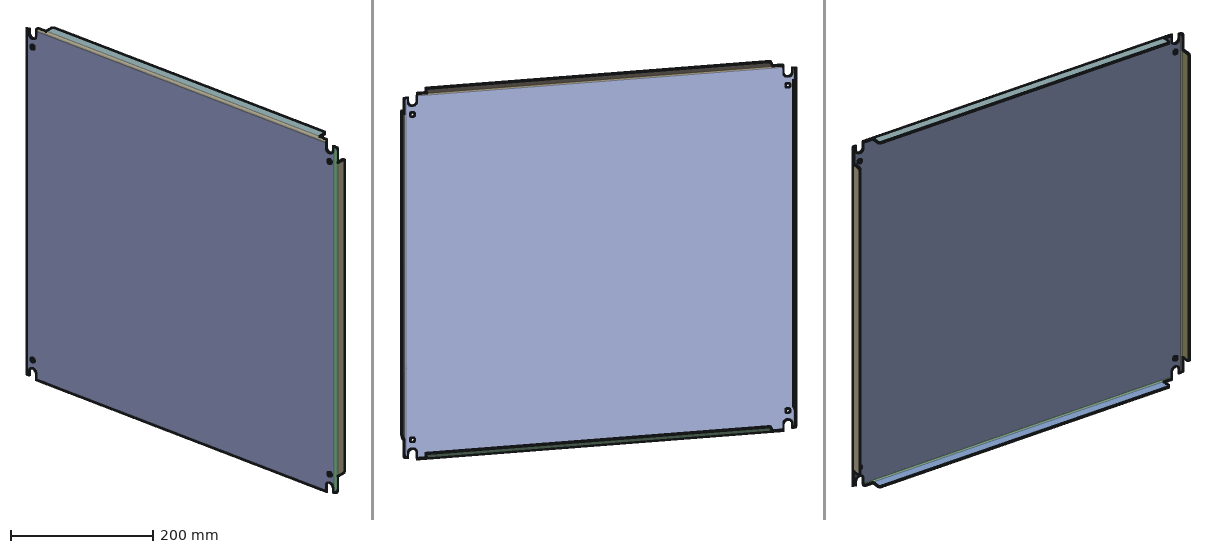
import cadquery as cq
import math

panel_size = 563.12
panel_depth = 19.05
sheet_thickness = 1.9
outer_bend_radius = 3.8

notch_width = 12.4
notch_depth = 18.1
hole_diameter = 7.0
hole_spacing_x = 538.0
hole_spacing_z = 500.0

horizontal_flange_inset = 34.0
vertical_flange_inset = 31.0
vertical_bend_inset = 5.0

flange_corner_radius = 3.0
horizontal_bend_rounding = 2.5
vertical_bend_rounding = 6.0

half_panel = panel_size / 2
inner_bend_radius = outer_bend_radius - sheet_thickness
flat_size = panel_size - 2 * outer_bend_radius
notch_radius = notch_width / 2
horizontal_bend_length = hole_spacing_x - notch_width
vertical_bend_length = panel_size - 2 * vertical_bend_inset
horizontal_flange_length = panel_size - 2 * horizontal_flange_inset
vertical_flange_length = panel_size - 2 * vertical_flange_inset


def make_flat_plate():
    """Cross-shaped flat sheet that reaches the start of all four bends."""
    between_sides = cq.Workplane("XY").box(flat_size, sheet_thickness, vertical_bend_length)
    between_ends = cq.Workplane("XY").box(horizontal_bend_length, sheet_thickness, flat_size)
    return between_sides.union(between_ends).translate((0, sheet_thickness / 2, 0))


def make_bend(length, end_rounding):
    """Quarter-round bend along X at the top edge, with its rear corners rounded off."""
    edge_z = half_panel - outer_bend_radius
    diagonal = math.sqrt(0.5)
    outer_mid = (
        outer_bend_radius * (1 - diagonal),
        edge_z + outer_bend_radius * diagonal,
    )
    inner_mid = (
        outer_bend_radius - inner_bend_radius * diagonal,
        edge_z + inner_bend_radius * diagonal,
    )
    bend = (
        cq.Workplane("YZ")
        .moveTo(0, edge_z)
        .threePointArc(outer_mid, (outer_bend_radius, half_panel))
        .lineTo(outer_bend_radius, half_panel - sheet_thickness)
        .threePointArc(inner_mid, (sheet_thickness, edge_z))
        .close()
        .extrude(length / 2, both=True)
    )
    straight_length = length - 2 * end_rounding
    envelope = cq.Workplane("XY").rect(straight_length, 2 * outer_bend_radius).extrude(half_panel)
    round_ends = (
        cq.Workplane("XY")
        .pushPoints([(-straight_length / 2, 0), (straight_length / 2, 0)])
        .ellipse(end_rounding, outer_bend_radius)
        .extrude(half_panel)
    )
    return bend.intersect(envelope.union(round_ends))


def make_flange(length):
    """Flat flange along X at the top edge, running rearward from the bend."""
    flange_depth = panel_depth - outer_bend_radius
    centre_y = outer_bend_radius + flange_depth / 2
    centre_z = half_panel - sheet_thickness / 2
    return (
        cq.Workplane("XY")
        .box(length, flange_depth, sheet_thickness)
        .edges("|Z and >Y")
        .fillet(flange_corner_radius)
        .translate((0, centre_y, centre_z))
    )


def make_edge(bend_length, bend_rounding, flange_length, angle):
    """Bend and flange, turned about Y from the top edge to another edge."""
    edge = make_bend(bend_length, bend_rounding).union(make_flange(flange_length))
    return edge.rotate((0, 0, 0), (0, 1, 0), angle)


def make_corner_cutter(side_x, side_z):
    """Round-bottomed notch, open at the horizontal edge, and the hole beyond it."""
    centre_x = side_x * hole_spacing_x / 2
    arc_centre_z = half_panel - notch_depth + notch_radius
    slot_height = half_panel - arc_centre_z
    slot_centre_z = arc_centre_z + slot_height / 2
    slot = (
        cq.Workplane("XY")
        .box(notch_width, 2 * panel_depth, slot_height)
        .translate((centre_x, 0, side_z * slot_centre_z))
    )
    round_bottom = (
        cq.Workplane("XZ")
        .center(centre_x, side_z * arc_centre_z)
        .circle(notch_radius)
        .extrude(panel_depth, both=True)
    )
    hole = (
        cq.Workplane("XZ")
        .center(centre_x, side_z * hole_spacing_z / 2)
        .circle(hole_diameter / 2)
        .extrude(panel_depth, both=True)
    )
    return slot.union(round_bottom).union(hole)


panel = make_flat_plate()

for angle in (0, 180):
    panel = panel.union(
        make_edge(horizontal_bend_length, horizontal_bend_rounding, horizontal_flange_length, angle)
    )

for angle in (90, 270):
    panel = panel.union(
        make_edge(vertical_bend_length, vertical_bend_rounding, vertical_flange_length, angle)
    )

for side_x in (-1, 1):
    for side_z in (-1, 1):
        panel = panel.cut(make_corner_cutter(side_x, side_z))

result = panel